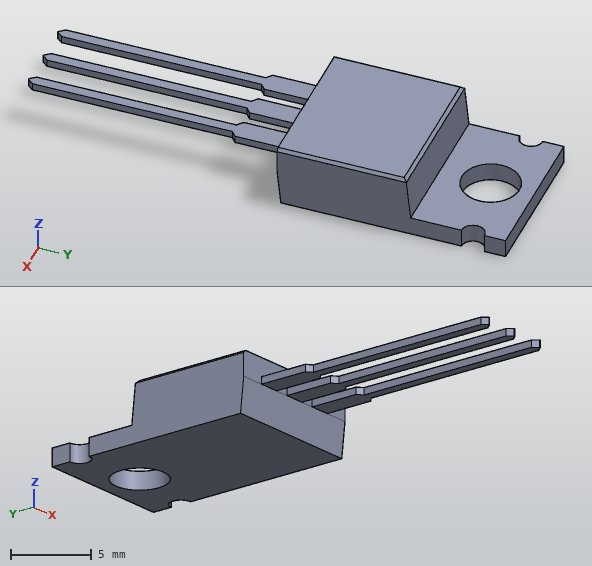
import cadquery as cq
import math

width = 10.16
total_length = 32.89
total_height = 4.21

tab_thickness = 1.27
hole_diameter = 3.84
hole_setback = 2.95
notch_radius = 0.77
notch_setback = 2.19

body_back = 6.355
body_front = 15.3
body_middle = (body_back + body_front) / 2
draft_angle = math.radians(6)
top_chamfer = 0.2

lead_count = 3
lead_pitch = 2.54
lead_bottom = 2.42
lead_thickness = 0.5
wide_lead_width = 1.5
narrow_lead_width = 0.72
shoulder_start = 18.8
shoulder_length = 0.33
tip_length = 0.39
tip_width = 0.08


def make_tab():
    """Flat plate with a screw hole and a round notch in each side edge."""
    plate = cq.Workplane("XY").center(0, -body_middle / 2).rect(width, body_middle).extrude(tab_thickness)
    hole = cq.Workplane("XY").center(0, -hole_setback).circle(hole_diameter / 2).extrude(tab_thickness)
    notch_points = [(side * width / 2, -notch_setback) for side in (-1, 1)]
    notches = cq.Workplane("XY").pushPoints(notch_points).circle(notch_radius).extrude(tab_thickness)
    return plate.cut(hole).cut(notches)


def make_body():
    """Block with a drafted back above the tab and a drafted front below the leads."""
    back_lean = (total_height - tab_thickness) * math.tan(draft_angle)
    front_lean = lead_bottom * math.tan(draft_angle)
    side_profile = [
        (-body_back, 0),
        (-body_back, tab_thickness),
        (-body_back - back_lean, total_height),
        (-body_front, total_height),
        (-body_front, lead_bottom),
        (-body_front + front_lean, 0),
    ]
    block = cq.Workplane("YZ").polyline(side_profile).close().extrude(width / 2, both=True)
    outer_top_edges = block.faces(">Z").edges("|Y or >Y")
    return outer_top_edges.chamfer(top_chamfer)


def make_lead(x_center):
    """Flat lead that narrows at a shoulder and tapers at its tip."""
    half_wide = wide_lead_width / 2
    half_narrow = narrow_lead_width / 2
    half_tip = tip_width / 2
    right_side = [
        (half_wide, -body_middle),
        (half_wide, -shoulder_start),
        (half_narrow, -shoulder_start - shoulder_length),
        (half_narrow, -total_length + tip_length),
        (half_tip, -total_length),
    ]
    left_side = [(-x, y) for x, y in reversed(right_side)]
    outline = cq.Workplane("XY", origin=(x_center, 0, lead_bottom)).polyline(right_side + left_side).close()
    return outline.extrude(lead_thickness)


result = make_tab().union(make_body())
for index in range(lead_count):
    lead_offset = (index - (lead_count - 1) / 2) * lead_pitch
    result = result.union(make_lead(lead_offset))